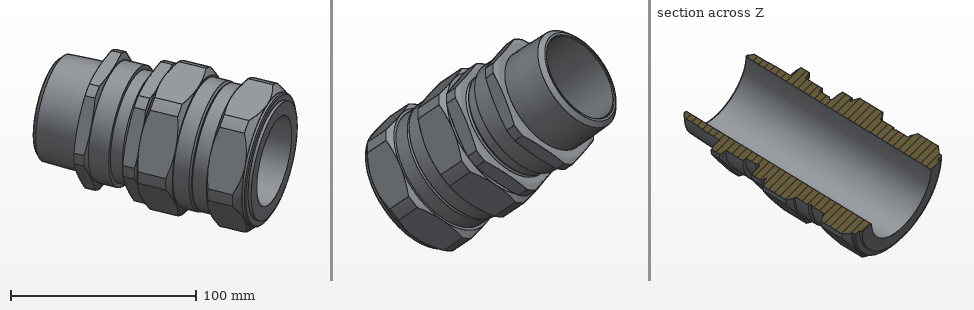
import cadquery as cq
import math

LENGTH = 129.2
CORNER_RATIO = 1.1

BORE_RADIUS = 25.3
BORE_CHAMFER = 0.5

ENTRY_RADIUS = 27.1
TAPER_START_X = 2.6
TAPER_START_RADIUS = 29.8
TAPER_END_X = 17.3
THREAD_RADIUS = 30.4

SHOULDER_RADIUS = 34.0
SHOULDER_END_X = 46.6
NECK_RADIUS = 31.5
NECK_GROOVE_X = 54.8
NECK_GROOVE_DEPTH = 1.0
NECK_GROOVE_HALF_WIDTH = 1.2
FRONT_COLLAR_RADIUS = 36.4
REAR_COLLAR_RADIUS = 35.9
COLLAR_GROOVE_X = 95.2
COLLAR_GROOVE_RADIUS = 35.0
COLLAR_GROOVE_HALF_WIDTH = 0.9

ENTRY_NUT = (27.3, 34.9)
ENTRY_NUT_FLATS = 69.8
LOCK_NUT = (55.8, 64.3)
LOCK_NUT_FLATS = 70.5
MIDDLE_NUT = (64.3, 85.0)
REAR_NUT = (104.8, 125.3)
LARGE_FLATS = 75.0
THIN_NUT_CHAMFER = 0.9
LARGE_NUT_CHAMFER = 2.3
REAR_NUT_BACK_CHAMFER = 3.9

FLANGE_RADIUS = 37.2
FLANGE_END_X = 127.4
FLANGE_CHAMFER = 0.6
SPIGOT_RADIUS = 33.3


def revolve_profile(points):
    """Turn a closed (x, radius) outline about the X axis."""
    return cq.Workplane("XZ").polyline(points).close().revolve(360, (0, 0, 0), (1, 0, 0))


def hexagon_nut(span, flats, front_chamfer, back_chamfer):
    """Hexagon with flats facing +Z and -Z, its corners turned down and chamfered at both ends.

    Each chamfer runs from the corners to the circle touching the flats.
    """
    start, end = span
    flat_radius = flats / 2
    corner_radius = flat_radius * CORNER_RATIO
    hexagon = (
        cq.Workplane("YZ", origin=(start, 0, 0))
        .polygon(6, flats / math.cos(math.pi / 6))
        .extrude(end - start)
    )
    envelope = revolve_profile([
        (start, 0),
        (start, flat_radius),
        (start + front_chamfer, corner_radius),
        (end - back_chamfer, corner_radius),
        (end, flat_radius),
        (end, 0),
    ])
    return hexagon.intersect(envelope)


def turned_body():
    """All round outer surfaces, from the entry end to the spigot."""
    neck_groove_radius = NECK_RADIUS - NECK_GROOVE_DEPTH
    return revolve_profile([
        (0, 0),
        (0, ENTRY_RADIUS),
        (TAPER_START_X, TAPER_START_RADIUS),
        (TAPER_END_X, THREAD_RADIUS),
        (ENTRY_NUT[0], THREAD_RADIUS),
        (ENTRY_NUT[0], SHOULDER_RADIUS),
        (SHOULDER_END_X, SHOULDER_RADIUS),
        (SHOULDER_END_X, NECK_RADIUS),
        (NECK_GROOVE_X - NECK_GROOVE_HALF_WIDTH, NECK_RADIUS),
        (NECK_GROOVE_X, neck_groove_radius),
        (NECK_GROOVE_X + NECK_GROOVE_HALF_WIDTH, NECK_RADIUS),
        (MIDDLE_NUT[0], NECK_RADIUS),
        (MIDDLE_NUT[0], FRONT_COLLAR_RADIUS),
        (COLLAR_GROOVE_X - COLLAR_GROOVE_HALF_WIDTH, FRONT_COLLAR_RADIUS),
        (COLLAR_GROOVE_X, COLLAR_GROOVE_RADIUS),
        (COLLAR_GROOVE_X + COLLAR_GROOVE_HALF_WIDTH, REAR_COLLAR_RADIUS),
        (REAR_NUT[0], REAR_COLLAR_RADIUS),
        (REAR_NUT[0], FLANGE_RADIUS),
        (FLANGE_END_X - FLANGE_CHAMFER, FLANGE_RADIUS),
        (FLANGE_END_X, FLANGE_RADIUS - FLANGE_CHAMFER),
        (FLANGE_END_X, SPIGOT_RADIUS),
        (LENGTH, SPIGOT_RADIUS),
        (LENGTH, 0),
    ])


def bore():
    """Through bore with a small chamfer at the entry end."""
    return revolve_profile([
        (0, 0),
        (0, BORE_RADIUS + BORE_CHAMFER),
        (BORE_CHAMFER, BORE_RADIUS),
        (LENGTH, BORE_RADIUS),
        (LENGTH, 0),
    ])


nuts = [
    hexagon_nut(ENTRY_NUT, ENTRY_NUT_FLATS, THIN_NUT_CHAMFER, THIN_NUT_CHAMFER),
    hexagon_nut(LOCK_NUT, LOCK_NUT_FLATS, THIN_NUT_CHAMFER, THIN_NUT_CHAMFER),
    hexagon_nut(MIDDLE_NUT, LARGE_FLATS, LARGE_NUT_CHAMFER, LARGE_NUT_CHAMFER),
    hexagon_nut(REAR_NUT, LARGE_FLATS, LARGE_NUT_CHAMFER, REAR_NUT_BACK_CHAMFER),
]

result = turned_body()
for nut in nuts:
    result = result.union(nut)
result = result.cut(bore())